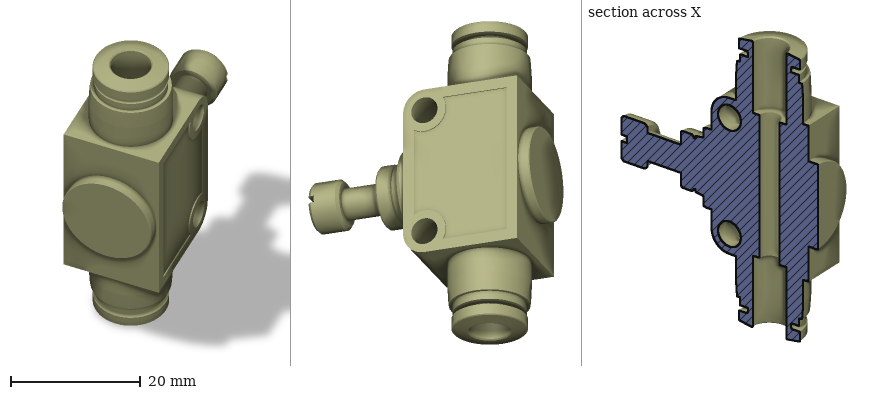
import cadquery as cq

body_width = 16.0
body_height = 27.35
body_front = -7.55
body_back = 11.2
corner_radius = 3.5
half_height = body_height / 2

mount_hole_diameter = 4.3
mount_hole_y = body_back - corner_radius
mount_hole_z = half_height - corner_radius

panel_depth = 0.2
panel_margin = 1.75
panel_boss_radius = 3.5

cap_diameter = 15.0
cap_end = -9.35
cap_chamfer = 0.15

fitting_top = 25.05
tip_radius = 3.5
ring_radius = 11.8 / 2
ring_edge = 24.7
ring_chamfer = 0.15
ring_bottom = 22.9
neck_top = 22.6
neck_top_radius = 8.7 / 2
neck_radius = 8.35 / 2
collar_top = 22.0
collar_radius = 11.5 / 2
shoulder_top = 20.6
shoulder_radius = 6.3
barrel_top = 17.6
barrel_radius = 13.0 / 2
shoulder_mid = (shoulder_top + barrel_top) / 2
shoulder_mid_radius = 6.45

bore_diameter = 3.8
socket_diameter = 6.35
socket_depth = 12.5
socket_chamfer = 0.2

flange_radius = 14.0 / 2
flange_end = 12.75
flange_chamfer_length = 0.5
flange_chamfer_drop = 0.2
collet_base_radius = 5.15
collet_end_radius = 4.95
collet_end = 14.25
groove_radius = 4.5
nut_start = 14.6
nut_end = 17.05
nut_radius = 10.0 / 2
nut_chamfer = 0.3
stem_radius = 5.0 / 2
head_start = 23.5
head_end = 28.55
head_radius = 8.0 / 2
head_chamfer = 0.5
slot_width = 1.05
slot_depth = 1.05


def make_body():
    """Block with rounded back corners."""
    block = cq.Workplane("XY").box(body_width, body_back - body_front, body_height)
    block = block.translate((0, (body_back + body_front) / 2, 0))
    return block.edges("|X and >Y").fillet(corner_radius)


def mount_cylinders(radius):
    """Cylinders along X through both mounting hole centres."""
    return (
        cq.Workplane("YZ")
        .pushPoints([(mount_hole_y, mount_hole_z), (mount_hole_y, -mount_hole_z)])
        .circle(radius)
        .extrude(body_width / 2, both=True)
    )


def make_panel(side):
    """Recess for one flat side, leaving round lands about the mounting holes."""
    panel = cq.Workplane("XY").box(
        panel_depth,
        body_back - body_front - 2 * panel_margin,
        body_height - 2 * panel_margin,
    )
    panel_x = side * (body_width - panel_depth) / 2
    panel = panel.translate((panel_x, (body_back + body_front) / 2, 0))
    return panel.cut(mount_cylinders(panel_boss_radius))


def make_cap():
    """Round cap on the front face."""
    cap = cq.Workplane("XZ", origin=(0, body_front, 0))
    cap = cap.circle(cap_diameter / 2).extrude(body_front - cap_end)
    return cap.faces("<Y").edges().chamfer(cap_chamfer)


def make_fitting():
    """Upper push-in fitting, revolved from the part centre upwards."""
    return (
        cq.Workplane("XZ")
        .lineTo(barrel_radius, 0)
        .lineTo(barrel_radius, barrel_top)
        .threePointArc((shoulder_mid_radius, shoulder_mid), (shoulder_radius, shoulder_top))
        .lineTo(collar_radius, shoulder_top)
        .lineTo(collar_radius, collar_top)
        .lineTo(neck_radius, collar_top)
        .lineTo(neck_radius, neck_top)
        .lineTo(neck_top_radius, ring_bottom)
        .lineTo(ring_radius, ring_bottom)
        .lineTo(ring_radius, ring_edge - ring_chamfer)
        .lineTo(ring_radius - ring_chamfer, ring_edge)
        .lineTo(tip_radius, fitting_top)
        .lineTo(0, fitting_top)
        .close()
        .revolve(360, (0, 0, 0), (0, 1, 0))
    )


def make_socket():
    """Tube socket with a chamfered mouth, opening at the fitting top."""
    radius = socket_diameter / 2
    socket_floor = fitting_top - socket_depth
    return (
        cq.Workplane("XZ")
        .moveTo(0, socket_floor)
        .lineTo(radius, socket_floor)
        .lineTo(radius, fitting_top - socket_chamfer)
        .lineTo(radius + socket_chamfer, fitting_top)
        .lineTo(0, fitting_top)
        .close()
        .revolve(360, (0, 0, 0), (0, 1, 0))
    )


def make_screw():
    """Flange, collet, lock nut, stem and slotted head on the back face."""
    screw = (
        cq.Workplane("XY")
        .moveTo(0, body_back)
        .lineTo(flange_radius, body_back)
        .lineTo(flange_radius, flange_end - flange_chamfer_length)
        .lineTo(flange_radius - flange_chamfer_drop, flange_end)
        .lineTo(collet_base_radius, flange_end)
        .lineTo(collet_end_radius, collet_end)
        .lineTo(groove_radius, collet_end)
        .lineTo(groove_radius, nut_start)
        .lineTo(nut_radius - nut_chamfer, nut_start)
        .lineTo(nut_radius, nut_start + nut_chamfer)
        .lineTo(nut_radius, nut_end - nut_chamfer)
        .lineTo(nut_radius - nut_chamfer, nut_end)
        .lineTo(stem_radius, nut_end)
        .lineTo(stem_radius, head_start)
        .lineTo(head_radius - head_chamfer, head_start)
        .lineTo(head_radius, head_start + head_chamfer)
        .lineTo(head_radius, head_end - head_chamfer)
        .lineTo(head_radius - head_chamfer, head_end)
        .lineTo(0, head_end)
        .close()
        .revolve(360, (0, 0, 0), (0, 1, 0))
    )
    slot = cq.Workplane("XY").box(2 * head_radius, slot_depth, slot_width)
    return screw.cut(slot.translate((0, head_end - slot_depth / 2, 0)))


upper_fitting = make_fitting()
upper_socket = make_socket()
bore = cq.Workplane("XY").circle(bore_diameter / 2).extrude(fitting_top, both=True)

result = make_body().union(make_cap()).union(make_screw())
result = result.union(upper_fitting).union(upper_fitting.mirror("XY"))
result = result.cut(upper_socket).cut(upper_socket.mirror("XY")).cut(bore)
result = result.cut(mount_cylinders(mount_hole_diameter / 2))
for side in (-1, 1):
    result = result.cut(make_panel(side))